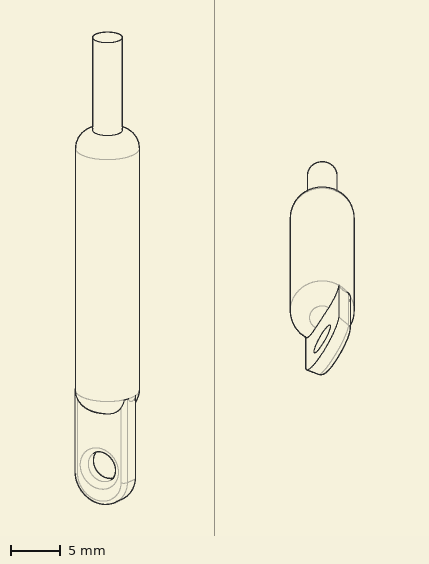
import cadquery as cq
import math

total_length = 50.0
body_diameter = 6.45
body_radius = body_diameter / 2

body_bottom = 10.0
body_top = 40.0
body_end_rounding = 1.95
rounding_height = body_bottom + body_end_rounding
rod_diameter = 3.0

tab_thickness = 1.7
tab_side_slope = 10.0
tab_end_rise = 0.1
tab_end_height = 2.95
tab_edge_rounding = 0.5
tab_root_height = rounding_height

hole_diameter = 3.2
hole_height = 4.05
hole_edge_rounding = 0.6


def make_body():
    body = cq.Workplane("XY").workplane(offset=body_bottom).circle(body_radius)
    body = body.extrude(body_top - body_bottom)
    return body.edges("%CIRCLE").fillet(body_end_rounding)


def make_rod():
    rod = cq.Workplane("XY").workplane(offset=rounding_height)
    return rod.circle(rod_diameter / 2).extrude(total_length - rounding_height)


def tab_outline(half_width, bottom):
    """Closed outline of the tab with straight sides and a rounded lower end."""
    path = (
        cq.Workplane("XZ")
        .moveTo(-half_width, tab_root_height)
        .lineTo(-half_width, tab_end_height)
        .threePointArc((0, bottom), (half_width, tab_end_height))
        .lineTo(half_width, tab_root_height)
        .close()
    )
    return path.val()


def make_tab():
    narrowing = tab_thickness * math.tan(math.radians(tab_side_slope))
    back = tab_outline(body_radius, 0)
    front = tab_outline(body_radius - narrowing, tab_end_rise).translate(cq.Vector(0, -tab_thickness, 0))
    tab = cq.Workplane(cq.Solid.makeLoft([back, front], True))
    tab = tab.faces("<Y").edges("not >Z").fillet(tab_edge_rounding)
    hole = cq.Workplane("XZ").center(0, hole_height).circle(hole_diameter / 2).extrude(tab_thickness)
    tab = tab.cut(hole)
    hole_rim = cq.selectors.NearestToPointSelector((0, -tab_thickness, hole_height))
    return tab.faces("<Y").edges(hole_rim).fillet(hole_edge_rounding)


result = make_body().union(make_rod()).union(make_tab())